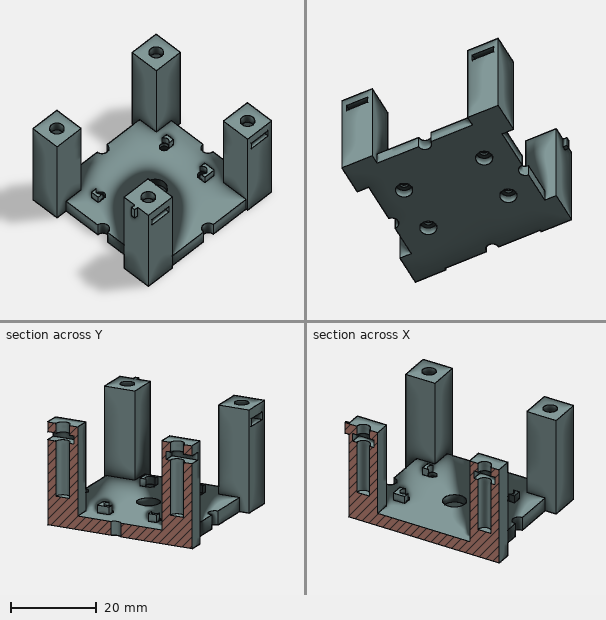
import cadquery as cq

plate_side = 35.0
plate_thickness = 3.5
edge_notch_radius = 1.6
center_recess_diameter = 5.6
center_recess_depth = 2.0

post_side = 8.0
post_height = 25.5
post_spacing_x = 30.02
post_spacing_y = 33.0
post_group_x = -1.0
post_hole_diameter = 3.4
post_hole_depth = 18.0

nut_slot_width = 5.6
nut_slot_height = 1.9
nut_slot_top_gap = 2.5
nut_slot_past_hole = nut_slot_width / 2
nut_slot_depth = post_side / 2 + nut_slot_past_hole

rib_width = 1.0
rib_depth = 1.0
rib_height = 3.0

screw_left_x = -7.5
screw_right_x = 5.0
screw_y = 10.5
screw_hole_diameter = 2.2
screw_head_diameter = 4.0
screw_floor_thickness = 1.0
lug_height = 1.9
lug_bore_diameter = 2.4
lug_outer_y = 12.5
lug_right_x = 7.0

screw_hole_radius = screw_hole_diameter / 2
plate_half = plate_side / 2
post_centers = [
    (post_group_x + sx * post_spacing_x / 2, sy * post_spacing_y / 2)
    for sx in (-1, 1)
    for sy in (-1, 1)
]
screw_centers = [(x, sy * screw_y) for x in (screw_left_x, screw_right_x) for sy in (-1, 1)]


def block(x_range, y_range, z_range):
    """Box between two limits on each axis, given in either order."""
    x0, x1 = sorted(x_range)
    y0, y1 = sorted(y_range)
    z0, z1 = sorted(z_range)
    base = cq.Workplane("XY", origin=(x0, y0, z0))
    return base.box(x1 - x0, y1 - y0, z1 - z0, centered=False)


def cylinders(centers, diameter, bottom, top):
    """Upright cylinders at the given centres."""
    base = cq.Workplane("XY").workplane(offset=bottom).pushPoints(centers)
    return base.circle(diameter / 2).extrude(top - bottom)


def make_plate():
    """Plate with a half-round notch in each side and a round recess in its top."""
    plate = cq.Workplane("XY").rect(plate_side, plate_side).extrude(plate_thickness)
    edge_middles = [(plate_half, 0), (-plate_half, 0), (0, plate_half), (0, -plate_half)]
    plate = plate.cut(cylinders(edge_middles, 2 * edge_notch_radius, 0, plate_thickness))
    recess_floor = plate_thickness - center_recess_depth
    return plate.cut(cylinders([(0, 0)], center_recess_diameter, recess_floor, plate_thickness))


def make_lugs():
    """Straight lugs at the -X holes and L-shaped lugs at the +X holes, hollowed around each screw."""
    lug_top = plate_thickness + lug_height
    lug_z = (plate_thickness, lug_top)
    left_x = (screw_left_x - screw_hole_radius, screw_left_x + screw_hole_radius)
    right_x = (screw_right_x - screw_hole_radius, lug_right_x)
    leg_x = (screw_right_x, lug_right_x)
    lugs = cq.Workplane("XY")
    for side in (-1, 1):
        outer_y = (side * screw_y, side * lug_outer_y)
        full_y = (side * (screw_y - screw_hole_radius), side * lug_outer_y)
        lugs = lugs.add(block(left_x, outer_y, lug_z))
        lugs = lugs.add(block(right_x, outer_y, lug_z))
        lugs = lugs.add(block(leg_x, full_y, lug_z))
    return lugs.combine().cut(cylinders(screw_centers, lug_bore_diameter, plate_thickness, lug_top))


def make_posts():
    """Corner posts with the marker rib on one of them, its root sunk into the post."""
    posts = cq.Workplane("XY").pushPoints(post_centers).rect(post_side, post_side).extrude(post_height)
    rib_x = post_group_x + post_spacing_x / 2
    face_y = -(post_spacing_y + post_side) / 2
    rib = block(
        (rib_x - rib_width / 2, rib_x + rib_width / 2),
        (face_y - rib_depth, face_y + rib_depth),
        (post_height - rib_height, post_height),
    )
    return posts.union(rib)


def make_nut_slots():
    """Flat pockets reaching from each post's outer X face past its hole."""
    slot_top = post_height - nut_slot_top_gap
    slots = cq.Workplane("XY")
    for x, y in post_centers:
        outward = 1 if x > post_group_x else -1
        outer_face = x + outward * post_side / 2
        slot = block(
            (outer_face - outward * nut_slot_depth, outer_face),
            (y - nut_slot_width / 2, y + nut_slot_width / 2),
            (slot_top - nut_slot_height, slot_top),
        )
        slots = slots.add(slot)
    return slots.combine()


def make_post_holes():
    """Blind holes down from the tops of the posts."""
    return cylinders(post_centers, post_hole_diameter, post_height - post_hole_depth, post_height)


def make_screw_holes():
    """Through holes with wider screw-head bores from the underside."""
    holes = cylinders(screw_centers, screw_hole_diameter, 0, plate_thickness)
    heads = cylinders(screw_centers, screw_head_diameter, 0, plate_thickness - screw_floor_thickness)
    return holes.union(heads)


body = make_plate().union(make_posts()).union(make_lugs())
body = body.cut(make_post_holes()).cut(make_nut_slots())
result = body.cut(make_screw_holes())